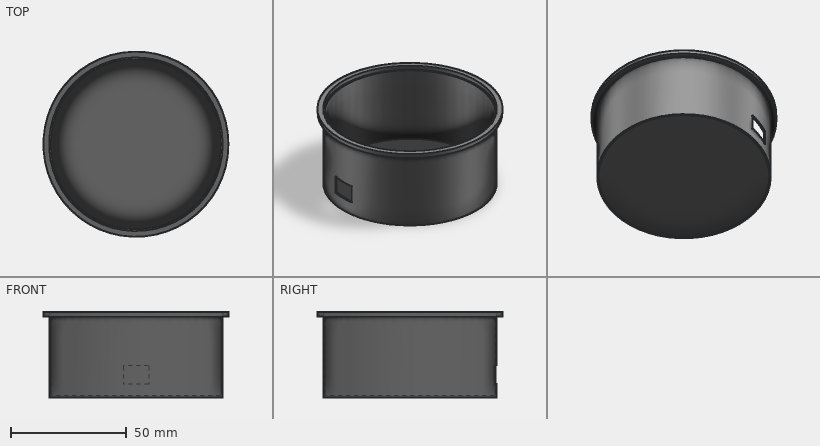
import cadquery as cq

rim_diameter = 80.0
overall_height = 37.0
rim_thickness = 2.0

tube_outer_diameter = 75.0
tube_inner_diameter = 73.5
tube_height = overall_height - rim_thickness

floor_thickness = 1.0

window_width = 11.0
window_height = 8.0
window_sill = 6.0


def make_window_cutter():
    """Block that reaches from the axis out through the +Y wall only."""
    return (
        cq.Workplane("XY")
        .box(window_width, tube_outer_diameter, window_height, centered=(True, False, False))
        .translate((0, 0, window_sill))
    )


def make_tube():
    """Thin open cylinder with the side window."""
    wall = (
        cq.Workplane("XY")
        .circle(tube_outer_diameter / 2)
        .circle(tube_inner_diameter / 2)
        .extrude(tube_height)
    )
    return wall.cut(make_window_cutter())


def make_rim():
    """Flat ring whose bore continues the outer diameter of the tube."""
    return (
        cq.Workplane("XY")
        .workplane(offset=overall_height - rim_thickness)
        .circle(rim_diameter / 2)
        .circle(tube_outer_diameter / 2)
        .extrude(rim_thickness)
    )


def make_floor():
    """Disc that closes the bottom of the tube from inside."""
    return cq.Workplane("XY").circle(tube_inner_diameter / 2).extrude(floor_thickness)


tube = make_tube()
rim = make_rim()
floor = make_floor()

result = cq.Compound.makeCompound([tube.val(), rim.val(), floor.val()])